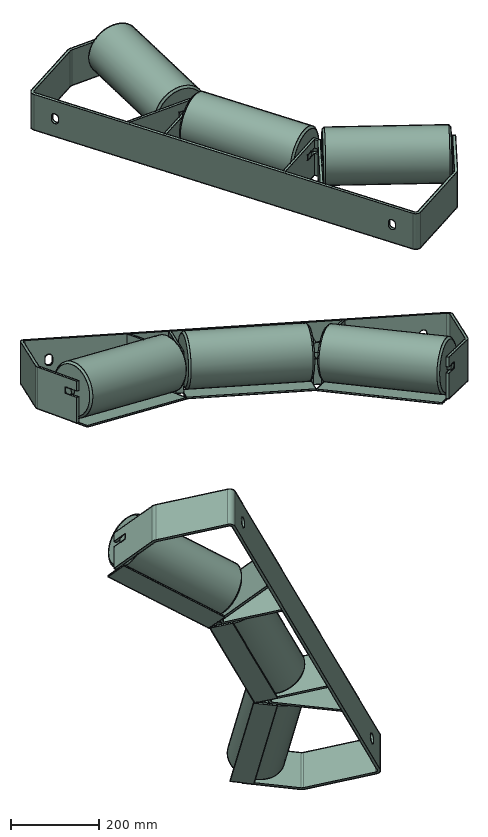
import cadquery as cq
import math

frame_width = 1000.0
frame_height = 100.0
frame_sheet = 7.0
corner_radius = 13.0
arm_bend_radius = 20.0

tilt = 30.0
wing_center_x = 309.0
wing_center_y = 208.3
center_axis_y = 123.8
axis_height = 69.0
roller_radius = 66.5
roller_length = 292.0
roller_chamfer = 5.0

support_gap = 300.0
half_gap = support_gap / 2
bracket_sheet = 6.0
half_span = half_gap + bracket_sheet
arm_outer = half_gap + frame_sheet

shaft_radius = 10.0
shaft_flat = 15.0
shaft_length = 2 * half_span
arm_past_axis = 29.0
bracket_top_y = 152.0

mount_slot_x = 433.0
mount_slot_width = 18.0
mount_slot_length = 27.0

plate_length = support_gap
plate_thickness = 4.0
plate_near = 3.0
plate_far = 58.0

tilt_sin = math.sin(math.radians(tilt))
tilt_cos = math.cos(math.radians(tilt))

left_wing = (-wing_center_x, wing_center_y, -tilt)
middle = (0.0, center_axis_y, 0.0)
right_wing = (wing_center_x, wing_center_y, tilt)
stations = (left_wing, middle, right_wing)


def at_station(body, station):
    """Move a body modelled along X at the origin to a roller station."""
    x, y, angle = station
    return body.rotate((0, 0, 0), (0, 0, 1), angle).translate((x, y, 0))


def left_wing_point(along, across):
    """Point given along the left wing roller's axis (inward) and square to it (rearward)."""
    x = -wing_center_x + along * tilt_cos + across * tilt_sin
    y = wing_center_y - along * tilt_sin + across * tilt_cos
    return (x, y)


def left_wing_y_at_x(along, x):
    """Y where the line square to the left wing axis, at a distance along it, reaches a given X."""
    across = (x + wing_center_x - along * tilt_cos) / tilt_sin
    return left_wing_point(along, across)[1]


def left_wing_x_at_y(along, y):
    """X where the line square to the left wing axis, at a distance along it, reaches a given Y."""
    across = (y - wing_center_y + along * tilt_sin) / tilt_cos
    return left_wing_point(along, across)[0]


def mirrored(points):
    """The same points on the other side of the YZ plane, in reverse order."""
    return [(-x, y) for x, y in reversed(points)]


def shaft_slot(station):
    """Cutter for a roller's shaft: its flat front end touches the shaft, and it is open to the rear."""
    depth = shaft_radius + roller_radius
    cutter = cq.Workplane("XY").box(shaft_length + 2 * frame_sheet, depth, shaft_flat)
    cutter = cutter.translate((0, depth / 2 - shaft_radius, axis_height))
    return at_station(cutter, station)


def make_frame():
    outer_x = frame_width / 2
    inner_x = outer_x - frame_sheet
    outer_side = [
        left_wing_point(-arm_outer, arm_past_axis),
        (-outer_x, left_wing_y_at_x(-arm_outer, -outer_x)),
        (-outer_x, 0),
    ]
    inner_side = [
        (-inner_x, frame_sheet),
        (-inner_x, left_wing_y_at_x(-half_gap, -inner_x)),
        left_wing_point(-half_gap, arm_past_axis),
    ]
    outline = outer_side + mirrored(outer_side) + mirrored(inner_side) + inner_side
    body = cq.Workplane("XY").polyline(outline).close().extrude(frame_height)

    bends = [
        (outer_side[1], arm_bend_radius),
        (outer_side[2], corner_radius),
        (inner_side[0], corner_radius - frame_sheet),
        (inner_side[1], arm_bend_radius - frame_sheet),
    ]
    for (x, y), radius in bends:
        for side in (-1, 1):
            edge = cq.selectors.NearestToPointSelector((side * x, y, frame_height / 2))
            body = body.edges("|Z").edges(edge).fillet(radius)

    mount_slots = (
        cq.Workplane("XZ")
        .pushPoints([(-mount_slot_x, frame_height / 2), (mount_slot_x, frame_height / 2)])
        .slot2D(mount_slot_length, mount_slot_width, 90)
        .extrude(-frame_sheet)
    )
    return body.cut(mount_slots).cut(shaft_slot(left_wing)).cut(shaft_slot(right_wing))


def make_left_bracket():
    """Folded strip: inclined leg for the wing roller, a short top, upright leg for the middle roller."""
    inner_top_y = bracket_top_y - bracket_sheet
    outline = [
        (left_wing_x_at_y(half_gap, frame_sheet), frame_sheet),
        (left_wing_x_at_y(half_gap, bracket_top_y), bracket_top_y),
        (-half_gap, bracket_top_y),
        (-half_gap, frame_sheet),
        (-half_span, frame_sheet),
        (-half_span, inner_top_y),
        (left_wing_x_at_y(half_span, inner_top_y), inner_top_y),
        (left_wing_x_at_y(half_span, frame_sheet), frame_sheet),
    ]
    body = cq.Workplane("XY").polyline(outline).close().extrude(frame_height)
    return body.cut(shaft_slot(left_wing)).cut(shaft_slot(middle))


def make_roller():
    """Chamfered drum turned in one piece with a shaft whose ends are flattened above and below."""
    half_shaft = shaft_length / 2
    half_drum = roller_length / 2
    half_tread = half_drum - roller_chamfer
    face_radius = roller_radius - roller_chamfer
    right_side = [
        (half_tread, roller_radius),
        (half_drum, face_radius),
        (half_drum, shaft_radius),
        (half_shaft, shaft_radius),
        (half_shaft, 0),
    ]
    profile = cq.Workplane("XZ").polyline(mirrored(right_side) + right_side).close()
    body = profile.revolve(360, (0, 0, 0), (1, 0, 0))

    end_length = half_shaft - half_drum
    end_block = cq.Workplane("XY").box(end_length, 2 * shaft_radius, 2 * shaft_radius)
    flat_end = cq.Workplane("XY").box(end_length, 2 * shaft_radius, shaft_flat)
    for side in (-1, 1):
        end_x = side * (half_drum + end_length / 2)
        body = body.cut(end_block.cut(flat_end).translate((end_x, 0, 0)))
    return body.translate((0, 0, axis_height))


def make_plate():
    plate = cq.Workplane("XY").box(plate_length, plate_far - plate_near, plate_thickness)
    return plate.translate((0, (plate_near + plate_far) / 2, -plate_thickness / 2))


frame = make_frame()
left_bracket = make_left_bracket()
right_bracket = left_bracket.mirror("YZ")
rollers = [at_station(make_roller(), station) for station in stations]
plates = [at_station(make_plate(), station) for station in stations]

bodies = [frame, left_bracket, right_bracket, *rollers, *plates]
result = cq.Compound.makeCompound([body.val() for body in bodies])